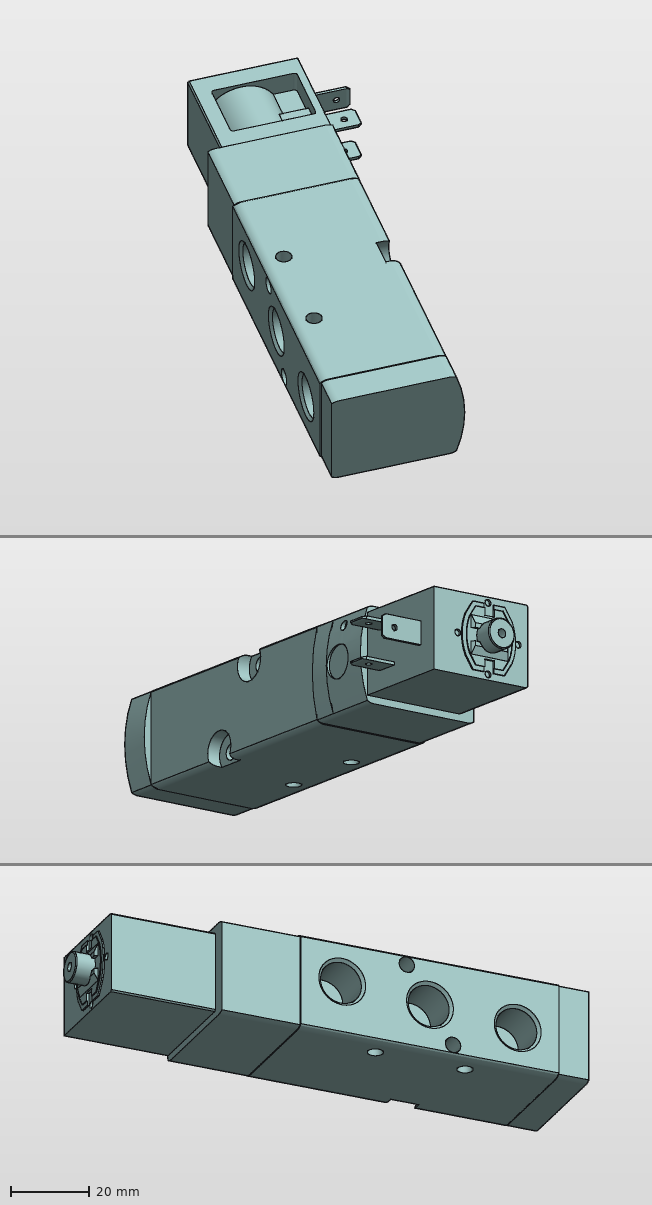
import cadquery as cq
import math


coil_left = 6.0
head_left = 35.1
body_left = 57.0
body_right = 129.2
overall_length = 137.8

body_half_width = 17.0
body_half_height = 13.2
body_bevel = 0.4
cap_half_height = 13.0
cap_front_y = -16.5
cap_shoulder_y = 17.0
corner_run = 1.9
corner_drop = 0.5
arch_top_y = 19.1
low_arch_top_y = 18.5
arch_step_x = 50.0

body_middle_x = (body_left + body_right) / 2
port_pitch = 24.5
port_stagger = 1.8
port_diameter = 11.5
port_mouth_diameter = 13.1
port_depth = 12.4
cross_hole_diameter = 4.3
cross_hole_offset_x = 6.5
cross_hole_offset_z = 10.0
counterbore_diameter = 10.0
counterbore_depth = 3.7
mount_hole_diameter = 4.1
mount_hole_offset_x = 12.5
mount_hole_y = -10.9

override_x = 45.0
override_diameter = 9.1
override_floor_y = 18.5
vent_x = 44.1
vent_z = 9.5
vent_diameter = 2.6
vent_floor_y = 16.5

tube_diameter = 8.1
tube_chamfer = 0.3
tube_bore_diameter = 2.3
tube_bore_depth = 4.1

coil_front_y = -12.5
coil_back_y = 17.0
coil_half_height = 11.0
coil_bevel = 0.4
window_left = 11.5
window_right = 28.0
window_front_y = -8.0
window_back_y = 14.9
window_corner_radius = 0.8
window_floor_z = 5.4
step_left = 21.5
step_top_z = 7.5
winding_radius = 10.2
dimple_diameter = 1.8
dimple_depth = 0.7
dimple_offset = 9.5

terminal_width = 6.3
terminal_thickness = 0.8
terminal_hole_diameter = 1.7
terminal_tip_length = 1.0
terminal_tip_inset = 0.7
terminal_tip_thickness = 0.4
ground_x = 12.3
ground_tip_y = 28.9
ground_hole_y = 25.2
line_x = 26.6
line_z = 5.4
line_tip_y = 26.6
line_hole_y = 22.7

clip_rim_thickness = 0.4
clip_thickness = 0.7
clip_rim_width = 1.2
clip_half_width = 8.4
clip_shoulder_y = 7.3
clip_shoulder_z = 5.5
clip_end_half_width = 5.0
clip_half_height = 9.1
clip_slot_width = 3.0
clip_slot_start_z = 5.8
collar_width = 11.6
collar_top_width = 10.2
collar_height = 10.5
collar_top_height = 6.0
collar_rise = 0.8
collar_channel_width = 3.6


def box_between(x0, x1, y0, y1, z0, z1):
    return cq.Workplane("XY").box(x1 - x0, y1 - y0, z1 - z0, centered=False).translate((x0, y0, z0))


def rod(diameter, start, end):
    """Cylinder between two points."""
    start_point = cq.Vector(*start)
    axis = cq.Vector(*end) - start_point
    solid = cq.Solid.makeCylinder(diameter / 2, axis.Length, start_point, axis)
    return cq.Workplane("XY").newObject([solid])


def valve_bar(x0, x1, front_y, back_y, half_height, bevel=0.0, back_top_y=None):
    """Bar along X with rounded corners, bevels beyond them and a flat or arched back."""
    corner_radius = (corner_run**2 + corner_drop**2) / (2 * corner_drop)
    half_angle = math.asin(corner_run / corner_radius) / 2
    middle_run = corner_radius * math.sin(half_angle)
    middle_z = half_height - corner_radius * (1 - math.cos(half_angle))
    front_edge = front_y + bevel
    back_edge = back_y - bevel
    front_flat = front_edge + corner_run
    back_flat = back_edge - corner_run
    edge_z = half_height - corner_drop
    side_z = edge_z - bevel

    outline = cq.Workplane("YZ", origin=(x0, 0, 0)).moveTo(front_flat, half_height)
    outline = outline.lineTo(back_flat, half_height)
    outline = outline.threePointArc((back_flat + middle_run, middle_z), (back_edge, edge_z))
    if bevel:
        outline = outline.lineTo(back_y, side_z)
    if back_top_y is None:
        outline = outline.lineTo(back_y, -side_z)
    else:
        outline = outline.threePointArc((back_top_y, 0), (back_y, -side_z))
    if bevel:
        outline = outline.lineTo(back_edge, -edge_z)
    outline = outline.threePointArc((back_flat + middle_run, -middle_z), (back_flat, -half_height))
    outline = outline.lineTo(front_flat, -half_height)
    outline = outline.threePointArc((front_flat - middle_run, -middle_z), (front_edge, -edge_z))
    if bevel:
        outline = outline.lineTo(front_y, -side_z)
    outline = outline.lineTo(front_y, side_z)
    if bevel:
        outline = outline.lineTo(front_edge, edge_z)
    outline = outline.threePointArc((front_flat - middle_run, middle_z), (front_flat, half_height))
    return outline.close().extrude(x1 - x0)


def arched_bar(x0, x1, top_y):
    return valve_bar(x0, x1, cap_front_y, cap_shoulder_y, cap_half_height, back_top_y=top_y)


def ported_body():
    body = valve_bar(
        body_left, body_right, -body_half_width, body_half_width, body_half_height, bevel=body_bevel
    )
    mouth_depth = (port_mouth_diameter - port_diameter) / 2
    for index in (-1, 0, 1):
        x = body_middle_x + index * port_pitch
        z = -index * port_stagger
        port = rod(port_diameter, (x, -body_half_width, z), (x, port_depth - body_half_width, z))
        mouth = cq.Solid.makeCone(
            port_mouth_diameter / 2,
            port_diameter / 2,
            mouth_depth,
            cq.Vector(x, -body_half_width, z),
            cq.Vector(0, 1, 0),
        )
        body = body.cut(port).cut(cq.Workplane(mouth))
    for side in (-1, 1):
        x = body_middle_x - side * cross_hole_offset_x
        z = side * cross_hole_offset_z
        back = (x, body_half_width, z)
        body = body.cut(rod(cross_hole_diameter, (x, -body_half_width, z), back))
        body = body.cut(rod(counterbore_diameter, (x, body_half_width - counterbore_depth, z), back))
    for side in (-1, 1):
        x = body_middle_x + side * mount_hole_offset_x
        bottom = (x, mount_hole_y, -body_half_height)
        body = body.cut(rod(mount_hole_diameter, bottom, (x, mount_hole_y, body_half_height)))
    return body


def pilot_head():
    head = arched_bar(head_left, arch_step_x, arch_top_y)
    head = head.union(arched_bar(arch_step_x, body_left, low_arch_top_y))
    override = rod(override_diameter, (override_x, override_floor_y, 0), (override_x, arch_top_y, 0))
    vent = rod(vent_diameter, (vent_x, vent_floor_y, vent_z), (vent_x, arch_top_y, vent_z))
    return head.cut(override).cut(vent)


def armature_tube():
    tube = rod(tube_diameter, (0, 0, 0), (head_left, 0, 0)).faces("<X").chamfer(tube_chamfer)
    return tube.cut(rod(tube_bore_diameter, (0, 0, 0), (tube_bore_depth, 0, 0)))


def make_valve():
    end_cap = arched_bar(body_right, overall_length, arch_top_y)
    return ported_body().union(end_cap).union(pilot_head()).union(armature_tube())


def tapered_outline(plane, half_size, tip_half_size, tip_y):
    """Strip along Y that narrows over the last stretch to its tip."""
    shoulder_y = tip_y - terminal_tip_length
    right_side = [(half_size, coil_back_y), (half_size, shoulder_y), (tip_half_size, tip_y)]
    left_side = [(-across, y) for across, y in reversed(right_side)]
    return cq.Workplane(plane).polyline(right_side + left_side).close()


def terminal_blade(tip_y, hole_y):
    """Flat blade on the back of the coil, in the XY plane and centred on X = Z = 0."""
    half_width = terminal_width / 2
    half_thickness = terminal_thickness / 2
    across_plane = cq.Plane((0, 0, 0), xDir=(1, 0, 0), normal=(0, 0, 1))
    edge_plane = cq.Plane((0, 0, 0), xDir=(0, 0, -1), normal=(1, 0, 0))
    blade = tapered_outline(across_plane, half_width, half_width - terminal_tip_inset, tip_y)
    blade = blade.extrude(half_thickness, both=True)
    edge = tapered_outline(edge_plane, half_thickness, terminal_tip_thickness / 2, tip_y)
    blade = blade.intersect(edge.extrude(half_width, both=True))
    hole = rod(terminal_hole_diameter, (0, hole_y, -half_thickness), (0, hole_y, half_thickness))
    return blade.cut(hole)


def winding_window():
    """Cavity in the top of the coil, above its stepped floor and the round winding."""
    cavity = box_between(
        window_left, window_right, window_front_y, window_back_y, window_floor_z, coil_half_height
    )
    cavity = cavity.edges("|Z").fillet(window_corner_radius)
    step = box_between(step_left, window_right, 0, window_back_y, window_floor_z, step_top_z)
    winding = rod(2 * winding_radius, (window_left, 0, 0), (window_right, 0, 0))
    return cavity.cut(step).cut(winding)


def make_coil():
    coil = box_between(
        coil_left, head_left, coil_front_y, coil_back_y, -coil_half_height, coil_half_height
    )
    coil = coil.edges("|X and <Y").chamfer(coil_bevel)
    coil = coil.cut(winding_window())
    coil = coil.cut(rod(tube_diameter, (coil_left, 0, 0), (head_left, 0, 0)))
    for y, z in ((dimple_offset, 0), (-dimple_offset, 0), (0, dimple_offset), (0, -dimple_offset)):
        coil = coil.cut(rod(dimple_diameter, (coil_left, y, z), (coil_left + dimple_depth, y, z)))
    ground = terminal_blade(ground_tip_y, ground_hole_y).rotate((0, 0, 0), (0, 1, 0), 90)
    coil = coil.union(ground.translate((ground_x, 0, 0)))
    for side in (-1, 1):
        blade = terminal_blade(line_tip_y, line_hole_y)
        coil = coil.union(blade.translate((line_x, 0, side * line_z)))
    return coil


def clip_outline(x):
    """Closed outline of the clip in the YZ plane at the given X."""
    return (
        cq.Workplane("YZ", origin=(x, 0, 0))
        .moveTo(-clip_end_half_width, clip_half_height)
        .lineTo(clip_end_half_width, clip_half_height)
        .lineTo(clip_shoulder_y, clip_shoulder_z)
        .threePointArc((clip_half_width, 0), (clip_shoulder_y, -clip_shoulder_z))
        .lineTo(clip_end_half_width, -clip_half_height)
        .lineTo(-clip_end_half_width, -clip_half_height)
        .lineTo(-clip_shoulder_y, -clip_shoulder_z)
        .threePointArc((-clip_half_width, 0), (-clip_shoulder_y, clip_shoulder_z))
        .close()
    )


def clip_collar(base_x, top_x):
    """Block with four sloped sides round the tube, divided by a channel along Y."""
    collar = (
        cq.Workplane("YZ", origin=(base_x, 0, 0))
        .rect(collar_width, collar_height)
        .workplane(offset=top_x - base_x)
        .rect(collar_top_width, collar_top_height)
        .loft(ruled=True)
    )
    half_width = collar_width / 2
    half_channel = collar_channel_width / 2
    return collar.cut(box_between(top_x, base_x, -half_width, half_width, -half_channel, half_channel))


def make_clip():
    """Spring clip: a slotted plate with bulged sides, a thin rim and a collar round the tube."""
    rim_left = coil_left - clip_rim_thickness
    plate_left = coil_left - clip_thickness
    collar_left = plate_left - collar_rise
    clip = clip_outline(rim_left).extrude(clip_rim_thickness)
    clip = clip.union(clip_outline(plate_left).offset2D(-clip_rim_width).extrude(clip_thickness))
    half_slot = clip_slot_width / 2
    for z0, z1 in ((clip_slot_start_z, clip_half_height), (-clip_half_height, -clip_slot_start_z)):
        clip = clip.cut(box_between(plate_left, coil_left, -half_slot, half_slot, z0, z1))
    clip = clip.union(clip_collar(plate_left, collar_left))
    return clip.cut(rod(tube_diameter, (collar_left, 0, 0), (coil_left, 0, 0)))


valve = make_valve()
coil = make_coil()
clip = make_clip()

result = cq.Compound.makeCompound([valve.val(), coil.val(), clip.val()])